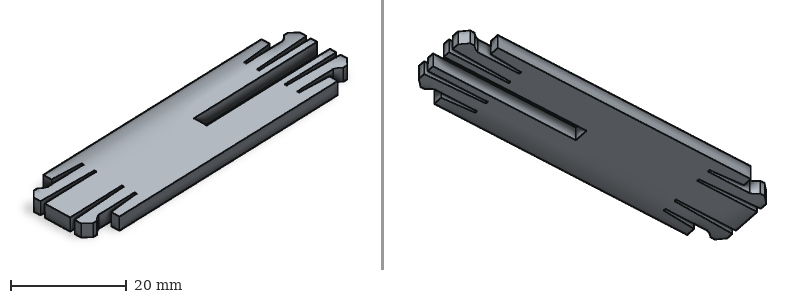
import cadquery as cq
import math

length = 67.0
width = 18.0
thickness = 3.0
shoulder_length = 55.0
half_length = length / 2
half_shoulder = shoulder_length / 2

slot_width = 3.0
slot_floor_y = 2.5

root_y = 20.5
tongue_half_width = 3.0
arm_inner_root_x = 3.5
arm_inner_tip_x = 4.0
arm_outer_x = 6.0
shoulder_root_x = 6.5
shoulder_tip_x = 7.05

hook_x = 7.05
hook_chamfer = 1.5
hook_flat = 1.0
hook_back_length = 1.5
hook_back_sagitta = 0.15


def hook_back_midpoint(start, end):
    """Middle of the hollow arc between the hook flat and the arm side."""
    dx = end[0] - start[0]
    dy = end[1] - start[1]
    chord = math.hypot(dx, dy)
    mid_x = (start[0] + end[0]) / 2 - hook_back_sagitta * abs(dy) / chord
    mid_y = (start[1] + end[1]) / 2 + hook_back_sagitta * abs(dx) / chord
    return mid_x, mid_y


def inner_gap():
    """Tapered gap between the tongue and the arm at +X, +Y."""
    return (
        cq.Workplane("XY")
        .moveTo(tongue_half_width, root_y)
        .lineTo(arm_inner_root_x, root_y)
        .lineTo(arm_inner_tip_x, half_length)
        .lineTo(tongue_half_width, half_length)
        .close()
        .extrude(thickness)
    )


def outer_gap():
    """Material removed outside the arm and its hook at +X, +Y."""
    flat_top_y = half_length - hook_chamfer
    flat_bottom = (hook_x, flat_top_y - hook_flat)
    arm_side = (arm_outer_x, flat_bottom[1] - hook_back_length)
    return (
        cq.Workplane("XY")
        .moveTo(arm_outer_x, root_y)
        .lineTo(shoulder_root_x, root_y)
        .lineTo(shoulder_tip_x, half_shoulder)
        .lineTo(width / 2, half_shoulder)
        .lineTo(width / 2, half_length)
        .lineTo(hook_x - hook_chamfer, half_length)
        .lineTo(hook_x, flat_top_y)
        .lineTo(*flat_bottom)
        .threePointArc(hook_back_midpoint(flat_bottom, arm_side), arm_side)
        .close()
        .extrude(thickness)
    )


def central_slot():
    """Slot running from its floor out through the +Y end."""
    slot_length = half_length - slot_floor_y
    return (
        cq.Workplane("XY")
        .center(0, slot_floor_y + slot_length / 2)
        .rect(slot_width, slot_length)
        .extrude(thickness)
    )


result = cq.Workplane("XY").rect(width, length).extrude(thickness)

for gap in (inner_gap(), outer_gap()):
    mirrored_gap = gap.mirror("YZ")
    for corner_gap in (gap, mirrored_gap, gap.mirror("XZ"), mirrored_gap.mirror("XZ")):
        result = result.cut(corner_gap)

result = result.cut(central_slot())